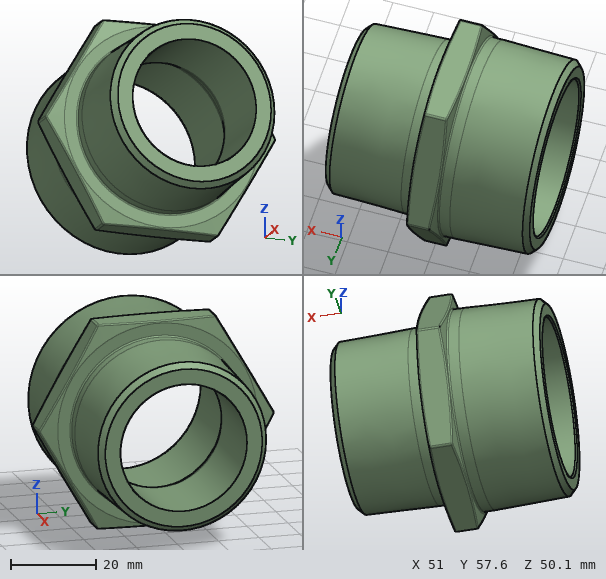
import cadquery as cq
import math

total_length = 51.0

across_flats = 50.05
hex_left = 22.0
hex_right = 29.0
hex_corner_radius = 0.65
hex_rim_radius = 0.35
hex_cone_start_radius = 24.5
hex_cone_angle = 10.0

radius_taper = 1 / 32
left_neck_diameter = 48.2
left_taper_start = 19.1
right_neck_diameter = 42.3
right_taper_start = 31.95
end_chamfer = 1.4
neck_fillet = 0.35

left_bore_diameter = 38.0
right_bore_diameter = 31.0
bore_cone_start = 20.85
bore_cone_end = 29.5
bore_blend_radius = 2.3
mouth_chamfer = 0.4


def revolve_about_x(outline):
    """Turn a closed outline in (x, radius) about the X axis."""
    return outline.close().revolve(360, (0, 0, 0), (1, 0, 0))


def tapered_end(neck_diameter, face, taper_start, end):
    """Turned end: neck at the collar, shallow taper, 45 degree chamfer at the tip."""
    outward = math.copysign(1, end - face)
    neck_radius = neck_diameter / 2
    chamfer_x = end - outward * end_chamfer
    taper_radius = neck_radius - abs(chamfer_x - taper_start) * radius_taper
    hex_middle = (hex_left + hex_right) / 2
    outline = (
        cq.Workplane("XY")
        .moveTo(hex_middle, 0)
        .lineTo(hex_middle, neck_radius + neck_fillet)
        .lineTo(face, neck_radius + neck_fillet)
        .radiusArc((face + outward * neck_fillet, neck_radius), -outward * neck_fillet)
        .lineTo(taper_start, neck_radius)
        .lineTo(chamfer_x, taper_radius)
        .lineTo(end, taper_radius - end_chamfer)
        .lineTo(end, 0)
    )
    return revolve_about_x(outline)


def hex_collar():
    """Hexagon with flats facing +Z and -Z, both faces coned back, outer rims rounded."""
    corner_radius = across_flats / math.sqrt(3)
    prism = (
        cq.Workplane("YZ", origin=(hex_left, 0, 0))
        .polygon(6, 2 * corner_radius)
        .extrude(hex_right - hex_left)
        .edges("|X")
        .fillet(hex_corner_radius)
    )
    cone_depth = (corner_radius - hex_cone_start_radius) * math.tan(math.radians(hex_cone_angle))
    envelope = revolve_about_x(
        cq.Workplane("XY")
        .moveTo(hex_left, 0)
        .lineTo(hex_left, hex_cone_start_radius)
        .lineTo(hex_left + cone_depth, corner_radius)
        .lineTo(hex_right - cone_depth, corner_radius)
        .lineTo(hex_right, hex_cone_start_radius)
        .lineTo(hex_right, 0)
    )
    collar = prism.intersect(envelope)
    return collar.edges("not(|X or %CIRCLE)").fillet(hex_rim_radius)


def bore():
    """Cutter for the stepped bore, with a blended cone between its diameters and a chamfered left mouth."""
    left_radius = left_bore_diameter / 2
    right_radius = right_bore_diameter / 2
    outline = (
        cq.Workplane("XY")
        .moveTo(0, 0)
        .lineTo(0, left_radius + mouth_chamfer)
        .lineTo(mouth_chamfer, left_radius)
        .lineTo(bore_cone_start, left_radius)
        .lineTo(bore_cone_end, right_radius)
        .lineTo(total_length, right_radius)
        .lineTo(total_length, 0)
    )
    cutter = revolve_about_x(outline)
    for circle_x in (bore_cone_start, bore_cone_end):
        circle = cq.selectors.NearestToPointSelector((circle_x, 0, 0))
        cutter = cutter.edges(circle).fillet(bore_blend_radius)
    return cutter


result = (
    hex_collar()
    .union(tapered_end(left_neck_diameter, hex_left, left_taper_start, 0))
    .union(tapered_end(right_neck_diameter, hex_right, right_taper_start, total_length))
    .cut(bore())
)